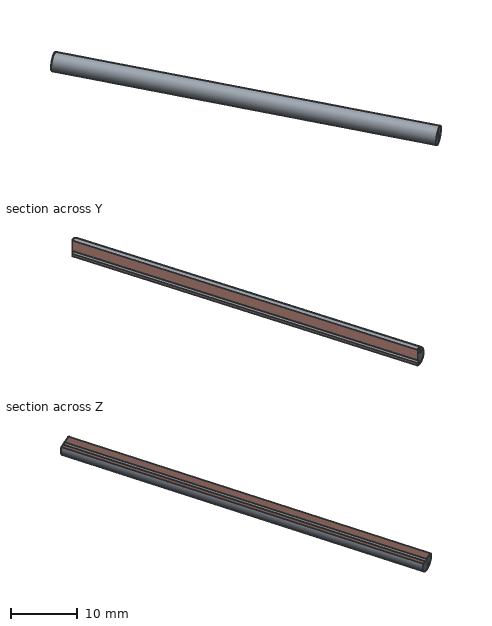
import cadquery as cq

length = 60
diameter = 3
edge_chamfer = 0.1

hole_diameter = 0.4
hole_y = -0.35
hole_z = 0.7

rod = cq.Workplane("YZ", origin=(-length / 2, 0, 0)).circle(diameter / 2).extrude(length)
rod = rod.faces("<X").chamfer(edge_chamfer)

holes = (
    cq.Workplane("YZ", origin=(-length / 2, 0, 0))
    .pushPoints([(hole_y, hole_z), (-hole_y, -hole_z)])
    .circle(hole_diameter / 2)
    .extrude(length)
)

result = rod.cut(holes)